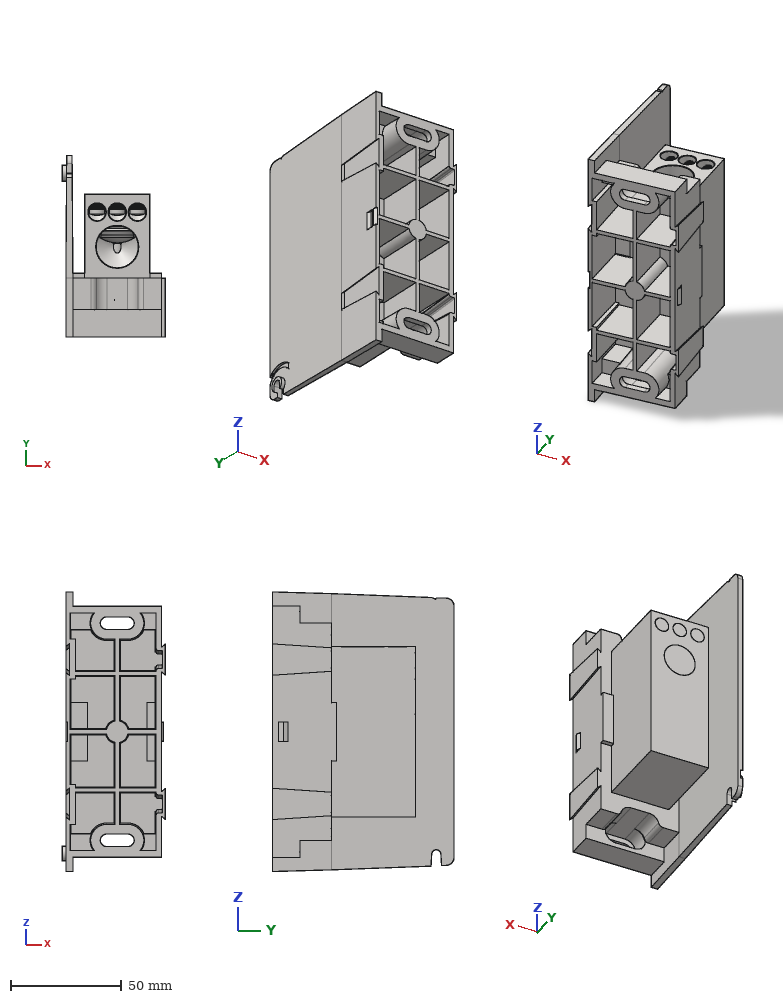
import cadquery as cq
import math


BASE_RIGHT = 43.6
BASE_HEIGHT = 26.8
FOOT_HEIGHT = 12.6
FOOT_END_Z = 57.0
LUG_END_Z = 49.4
CENTER_X = 23.4
DRAFT = 1.0

WALL_THICKNESS = 3.3
WALL_TOP_Y = 82.5
WALL_HALF_LENGTH = 63.5
WALL_BEND_Z = 62.7
WALL_CORNER_Z = 60.7
WALL_SHOULDER_Y = 72.4
WALL_SHOULDER_Z = 61.0
WALL_CORNER_RADIUS = 3.8
WALL_TAPER = 0.4
TOP_NOTCH_Y = 74.0
TOP_NOTCH_DEPTH = 0.5

HINGE_Y = 74.4
HINGE_Z = -55.6
HINGE_BOSS_DIAMETER = 7.4
HINGE_HOLE_DIAMETER = 4.1
HINGE_MOUTH_WIDTH = 5.0
HINGE_PROJECTION = 1.7
GROOVE_OUTER_DIAMETER = 22.2
GROOVE_INNER_DIAMETER = 17.5
GROOVE_DEPTH = 1.1
GROOVE_START_Y = 68.1
GROOVE_STEP_Y = 80.8
GROOVE_RAMP_Y = 81.7

POCKET_LEFT = 2.0
POCKET_RIGHT = 41.0
POCKET_END_Z = 54.0
POCKET_FLOOR_Y = 24.3
FOOT_POCKET_FLOOR_Y = 10.2
DEEP_POCKET_END_Z = 46.6
RIB_THICKNESS = 1.9
CROSS_RIB_Z = 26.4
POST_DIAMETER = 9.9

SLOT_Z = 49.3
SLOT_WIDTH = 5.6
SLOT_LENGTH = 15.2
SLOT_BOSS_RADIUS = 7.2
SLOT_BOSS_DRAFT = 1.5
SLOT_FLOOR_Y = 3.3
COUNTERBORE_WIDTH = 10.8
RECESS_FLAT_HALF = 4.7
RECESS_CORNER_RUN = 4.8
RECESS_LIP_RUN = 2.4

PAD_HALF_LENGTH = 13.2
PAD_HEIGHT = 2.3
PAD_HOLLOW_DEPTH = 1.0
PAD_HOLLOW_OVERLAP = 1.3

DOVETAIL_Z = 32.8
DOVETAIL_HEIGHT = 1.7
DOVETAIL_ROOT_HALF = 5.7
DOVETAIL_FLARE = 1.4
DOVETAIL_TAPER = 1.8
DOVETAIL_PLAY = 0.1
DOVETAIL_HOLLOW_HALF = 4.1
DOVETAIL_HOLLOW_DEPTH = 2.9
DOVETAIL_MOUTH_RADIUS = 1.0
DOVETAIL_ROOT_RADIUS = 0.5
BACKING_THICKNESS = 4.3
BACKING_NEAR_Z = 24.0
BACKING_FAR_Z = 42.2

SNAP_HALF_LENGTH = 4.3
SNAP_START_Y = 2.8
SNAP_PEAK_Y = 5.1
SNAP_END_Y = 7.1
SNAP_HEIGHT = 0.9
LEAD_IN_Y = 1.8

CONNECTOR_WIDTH = 29.6
CONNECTOR_TOP_Y = 64.9
CONNECTOR_HALF_LENGTH = 38.6
DRILL_HALF_ANGLE = 59.0
SMALL_WIRE_DIAMETER = 7.9
SMALL_WIRE_Y = 56.8
SMALL_WIRE_PITCH = 9.1
SMALL_WIRE_DEPTH = 11.4
LARGE_WIRE_DIAMETER = 19.0
LARGE_WIRE_Y = 41.0
LARGE_WIRE_DEPTH = 32.1
WIRE_HOLE_CHAMFER = 0.3

SMALL_SCREW_DIAMETER = 6.9
SMALL_SCREW_HOLE = 7.0
SMALL_SCREW_Z = 32.4
SMALL_SCREW_TIP_Y = 56.0
SMALL_SCREW_TIP_LENGTH = 2.0
SMALL_SCREW_DOME = 0.8
SMALL_SCREW_PITCH = 0.8
LARGE_SCREW_DIAMETER = 15.9
LARGE_SCREW_HOLE = 16.0
LARGE_SCREW_Z = 15.9
LARGE_SCREW_TIP_Y = 45.2
LARGE_SCREW_DOME = 2.4
LARGE_SCREW_PITCH = 1.7
RETAINING_SCREW_DIAMETER = 5.0
RETAINING_SCREW_BOTTOM_Y = 15.2
RETAINING_SCREW_TOP_Y = 42.5


def box(x0, x1, y0, y1, z0, z1):
    """A block between two opposite corners."""
    return cq.Workplane(obj=cq.Solid.makeBox(x1 - x0, y1 - y0, z1 - z0, cq.Vector(x0, y0, z0)))


def plane_up(x, y, z):
    """A sketch plane facing +Y; its local axes are X and -Z."""
    return cq.Workplane(cq.Plane(origin=(x, y, z), xDir=(1, 0, 0), normal=(0, 1, 0)))


def at_both_ends(shape):
    """The shape and its mirror image across Z = 0."""
    return shape.union(shape.mirror("XY"))


def wall_outline():
    """Plate with the side wall's YZ outline, which tapers away from the mounting plane."""
    hinge_side_z = -WALL_CORNER_Z
    outline = (
        cq.Workplane("YZ")
        .moveTo(0, -WALL_HALF_LENGTH)
        .lineTo(0, WALL_HALF_LENGTH)
        .lineTo(BASE_HEIGHT, WALL_BEND_Z)
        .lineTo(WALL_SHOULDER_Y, WALL_SHOULDER_Z)
        .lineTo(TOP_NOTCH_Y, WALL_CORNER_Z - TOP_NOTCH_DEPTH)
        .lineTo(HINGE_Y, WALL_CORNER_Z)
        .lineTo(WALL_TOP_Y, WALL_CORNER_Z)
        .lineTo(WALL_TOP_Y, hinge_side_z)
        .lineTo(HINGE_Y, hinge_side_z)
        .lineTo(HINGE_Y, -WALL_SHOULDER_Z)
        .lineTo(BASE_HEIGHT, -WALL_BEND_Z)
        .close()
        .extrude(WALL_THICKNESS)
    )
    corners = cq.selectors.BoxSelector(
        (0, HINGE_Y + WALL_CORNER_RADIUS, -WALL_HALF_LENGTH),
        (WALL_THICKNESS, WALL_TOP_Y + WALL_CORNER_RADIUS, WALL_HALF_LENGTH),
    )
    return outline.edges("|X").edges(corners).fillet(WALL_CORNER_RADIUS)


def side_wall():
    """Wall of constant thickness beside the base, thinning towards its top."""
    section = (
        cq.Workplane("XY", origin=(0, 0, -WALL_HALF_LENGTH))
        .polyline([
            (0, 0),
            (WALL_THICKNESS, 0),
            (WALL_THICKNESS, BASE_HEIGHT),
            (WALL_THICKNESS - WALL_TAPER, WALL_TOP_Y),
            (WALL_TAPER, WALL_TOP_Y),
            (0, BASE_HEIGHT),
        ])
        .close()
        .extrude(2 * WALL_HALF_LENGTH)
    )
    return section.intersect(wall_outline())


def add_hinge(wall):
    """Round boss with an open slot, and a blind arc groove around it."""
    hinge = cq.Workplane("YZ", origin=(-HINGE_PROJECTION, HINGE_Y, HINGE_Z))
    boss = hinge.circle(HINGE_BOSS_DIAMETER / 2).extrude(HINGE_PROJECTION + WALL_THICKNESS / 2)
    reach = HINGE_PROJECTION + WALL_THICKNESS
    hole_radius = HINGE_HOLE_DIAMETER / 2
    mouth_depth = WALL_HALF_LENGTH + HINGE_Z
    hole = hinge.circle(hole_radius).extrude(reach)
    mouth = (
        hinge.polyline([
            (-hole_radius, 0),
            (hole_radius, 0),
            (HINGE_MOUTH_WIDTH / 2, -mouth_depth),
            (-HINGE_MOUTH_WIDTH / 2, -mouth_depth),
        ])
        .close()
        .extrude(reach)
    )

    floor_x = WALL_TAPER + GROOVE_DEPTH
    step_x = WALL_TAPER + GROOVE_DEPTH / 2
    ring = (
        cq.Workplane("YZ", origin=(0, HINGE_Y, HINGE_Z))
        .circle(GROOVE_OUTER_DIAMETER / 2)
        .circle(GROOVE_INNER_DIAMETER / 2)
        .extrude(floor_x)
    )
    groove_section = (
        cq.Workplane("XY", origin=(0, 0, HINGE_Z))
        .polyline([
            (0, GROOVE_START_Y),
            (floor_x, GROOVE_START_Y),
            (floor_x, GROOVE_STEP_Y),
            (step_x, GROOVE_STEP_Y),
            (step_x, GROOVE_RAMP_Y),
            (floor_x, WALL_TOP_Y),
            (0, WALL_TOP_Y),
        ])
        .close()
        .extrude(GROOVE_OUTER_DIAMETER / 2)
    )
    return wall.union(boss).cut(hole).cut(mouth).cut(ring.intersect(groove_section))


def slot_recess():
    """Open-ended recess with S-curved sides above one mounting foot."""
    back_z = SLOT_Z - COUNTERBORE_WIDTH / 2
    depth = LUG_END_Z - back_z
    run = RECESS_CORNER_RUN + RECESS_LIP_RUN
    swing = 2 * math.atan(depth / run)
    corner_radius = RECESS_CORNER_RUN / math.sin(swing)
    lip_radius = RECESS_LIP_RUN / math.sin(swing)

    def along_arc(radius, angle):
        return radius * math.sin(angle), radius * (1 - math.cos(angle))

    corner_mid_x, corner_mid_z = along_arc(corner_radius, swing / 2)
    corner_x, corner_z = along_arc(corner_radius, swing)
    lip_mid_x, lip_mid_z = along_arc(lip_radius, swing / 2)
    lip_x = RECESS_FLAT_HALF + run

    def point(x, z):
        return (x, -z)

    corner_mid = (RECESS_FLAT_HALF + corner_mid_x, back_z + corner_mid_z)
    corner_end = (RECESS_FLAT_HALF + corner_x, back_z + corner_z)
    lip_mid = (lip_x - lip_mid_x, LUG_END_Z - lip_mid_z)
    half = (
        plane_up(CENTER_X, FOOT_HEIGHT, 0)
        .moveTo(*point(0, back_z))
        .lineTo(*point(RECESS_FLAT_HALF, back_z))
        .threePointArc(point(*corner_mid), point(*corner_end))
        .threePointArc(point(*lip_mid), point(lip_x, LUG_END_Z))
        .lineTo(*point(0, LUG_END_Z))
        .close()
        .extrude(BASE_HEIGHT - FOOT_HEIGHT)
    )
    return half.union(half.mirror("YZ", (CENTER_X, 0, 0)))


def slot_shape(width, y0, y1, taper=0):
    """Prism from Y = y0 to y1 that follows the mounting slot at the given width."""
    length = SLOT_LENGTH - SLOT_WIDTH + width
    return plane_up(CENTER_X, y0, SLOT_Z).slot2D(length, width).extrude(y1 - y0, taper=taper)


def pocket(x0, x1, z0, z1, floor_y):
    """Drafted pocket open on the mounting plane."""
    return (
        plane_up((x0 + x1) / 2, 0, (z0 + z1) / 2)
        .rect(x1 - x0, z1 - z0)
        .extrude(floor_y, taper=DRAFT)
    )


def underside_pockets():
    """Ribbed hollow of one half of the base, around the slot boss and the centre post."""
    half_rib = RIB_THICKNESS / 2
    columns = [(POCKET_LEFT, CENTER_X - half_rib), (CENTER_X + half_rib, POCKET_RIGHT)]
    rows = [(half_rib, CROSS_RIB_Z - half_rib), (CROSS_RIB_Z + half_rib, DEEP_POCKET_END_Z)]
    pockets = cq.Workplane()
    for x0, x1 in columns:
        for z0, z1 in rows:
            pockets = pockets.add(pocket(x0, x1, z0, z1, POCKET_FLOOR_Y))
        pockets = pockets.add(pocket(x0, x1, CROSS_RIB_Z + half_rib, POCKET_END_Z, FOOT_POCKET_FLOOR_Y))
    pockets = pockets.combine()

    boss = slot_shape(2 * SLOT_BOSS_RADIUS, 0, BASE_HEIGHT, -SLOT_BOSS_DRAFT)
    post = plane_up(CENTER_X, 0, 0).circle(POST_DIAMETER / 2).extrude(BASE_HEIGHT, taper=-DRAFT)
    backing = box(0, BACKING_THICKNESS, 0, BASE_HEIGHT, BACKING_NEAR_Z, BACKING_FAR_Z)
    return pockets.cut(boss).cut(post).cut(backing)


def dovetail(x, play):
    """Dovetail bar flaring towards +X, narrowing from the mounting plane to the base top."""
    def section(y, half):
        root, tip = half + play, half + DOVETAIL_FLARE + play
        height = DOVETAIL_HEIGHT + play
        corners = [(x, -root), (x, root), (x + height, tip), (x + height, -tip)]
        points = [cq.Vector(px, y, DOVETAIL_Z + pz) for px, pz in corners]
        return cq.Wire.makePolygon(points, close=True)

    bottom = section(0, DOVETAIL_ROOT_HALF)
    top = section(BASE_HEIGHT, DOVETAIL_ROOT_HALF - DOVETAIL_TAPER)
    return cq.Workplane(obj=cq.Solid.makeLoft([bottom, top], True))


def dovetail_hollow():
    """Tapered hollow behind the dovetail bar, with rounded mouth and root, open to the pocket."""
    mouth, root, depth = DOVETAIL_MOUTH_RADIUS, DOVETAIL_ROOT_RADIUS, DOVETAIL_HOLLOW_DEPTH
    off_arc = 1 - math.sqrt(0.5)

    def section(y, half):
        wire = (
            plane_up(POCKET_RIGHT, y, DOVETAIL_Z)
            .moveTo(-RIB_THICKNESS, half + mouth)
            .lineTo(0, half + mouth)
            .threePointArc((mouth * off_arc, half + mouth * off_arc), (mouth, half))
            .lineTo(depth - root, half)
            .threePointArc((depth - root * off_arc, half - root * off_arc), (depth, half - root))
            .lineTo(depth, root - half)
            .threePointArc((depth - root * off_arc, root * off_arc - half), (depth - root, -half))
            .lineTo(mouth, -half)
            .threePointArc((mouth * off_arc, -half - mouth * off_arc), (0, -half - mouth))
            .lineTo(-RIB_THICKNESS, -half - mouth)
            .close()
        )
        return wire.val()

    floor_half = DOVETAIL_HOLLOW_HALF - DOVETAIL_TAPER * POCKET_FLOOR_Y / BASE_HEIGHT
    sections = [section(0, DOVETAIL_HOLLOW_HALF), section(POCKET_FLOOR_Y, floor_half)]
    return cq.Workplane(obj=cq.Solid.makeLoft(sections, True))


def snap_wedge(x, points):
    """Triangular bar along Z; points are (height, y) pairs from the face at X = x."""
    return (
        cq.Workplane("XY", origin=(x, 0, -SNAP_HALF_LENGTH))
        .polyline(points)
        .close()
        .extrude(2 * SNAP_HALF_LENGTH)
    )


def make_housing():
    core = box(0, BASE_RIGHT, 0, BASE_HEIGHT, -LUG_END_Z, LUG_END_Z)
    feet = box(0, BASE_RIGHT, 0, FOOT_HEIGHT, -FOOT_END_Z, FOOT_END_Z)
    body = core.union(feet).union(add_hinge(side_wall()))

    connector_left = CENTER_X - CONNECTOR_WIDTH / 2
    connector_right = CENTER_X + CONNECTOR_WIDTH / 2
    pad_top = BASE_HEIGHT + PAD_HEIGHT
    hollow_top = POCKET_FLOOR_Y + PAD_HOLLOW_DEPTH
    left_hollow = (POCKET_LEFT, connector_left + PAD_HOLLOW_OVERLAP)
    right_hollow = (connector_right - PAD_HOLLOW_OVERLAP, POCKET_RIGHT)
    for x0, x1 in [(WALL_THICKNESS / 2, connector_left), (connector_right, BASE_RIGHT)]:
        body = body.union(box(x0, x1, 0, pad_top, -PAD_HALF_LENGTH, PAD_HALF_LENGTH))

    hollow_start = RIB_THICKNESS / 2
    pad_hollows = [
        box(x0, x1, POCKET_FLOOR_Y, hollow_top, hollow_start, PAD_HALF_LENGTH)
        for x0, x1 in (left_hollow, right_hollow)
    ]

    body = body.union(at_both_ends(dovetail(BASE_RIGHT, 0)))
    end_cuts = [
        slot_recess(),
        slot_shape(SLOT_WIDTH, 0, FOOT_HEIGHT),
        slot_shape(COUNTERBORE_WIDTH, SLOT_FLOOR_Y, FOOT_HEIGHT),
        underside_pockets(),
        *pad_hollows,
        dovetail_hollow(),
        dovetail(0, DOVETAIL_PLAY),
    ]
    for tool in end_cuts:
        body = body.cut(at_both_ends(tool))

    ridge = [(0, SNAP_START_Y), (SNAP_HEIGHT, SNAP_PEAK_Y), (0, SNAP_END_Y)]
    lead_in = [(0, 0), (SNAP_HEIGHT, 0), (0, LEAD_IN_Y)]
    body = body.union(snap_wedge(BASE_RIGHT, ridge))
    body = body.cut(snap_wedge(0, ridge)).cut(snap_wedge(0, lead_in))

    return body.cut(retaining_screw_shape())


def wire_hole(x, y, diameter, depth):
    """Blind hole from the +Z end with a drill-point bottom."""
    radius = diameter / 2
    point = radius / math.tan(math.radians(DRILL_HALF_ANGLE))
    return (
        cq.Workplane("XZ", origin=(x, y, CONNECTOR_HALF_LENGTH))
        .polyline([
            (0, 0),
            (radius + WIRE_HOLE_CHAMFER, 0),
            (radius, -WIRE_HOLE_CHAMFER),
            (radius, -depth),
            (0, -depth - point),
        ])
        .close()
        .revolve(360, (0, 0), (0, 1))
    )


def screw_hole(x, z, diameter, bottom_y):
    """Upright hole from Y = bottom_y to the connector top."""
    return plane_up(x, bottom_y, z).circle(diameter / 2).extrude(CONNECTOR_TOP_Y - bottom_y)


def retaining_screw_shape():
    """Plain shank that fills its hole in the base and the connector."""
    length = RETAINING_SCREW_TOP_Y - RETAINING_SCREW_BOTTOM_Y
    return (
        plane_up(CENTER_X, RETAINING_SCREW_BOTTOM_Y, 0)
        .circle(RETAINING_SCREW_DIAMETER / 2)
        .extrude(length)
    )


def small_screw_positions():
    return [CENTER_X + step * SMALL_WIRE_PITCH for step in (-1, 0, 1)]


def make_connector():
    half_width = CONNECTOR_WIDTH / 2
    body = box(
        CENTER_X - half_width, CENTER_X + half_width,
        BASE_HEIGHT, CONNECTOR_TOP_Y,
        -CONNECTOR_HALF_LENGTH, CONNECTOR_HALF_LENGTH,
    )
    for x in small_screw_positions():
        body = body.cut(wire_hole(x, SMALL_WIRE_Y, SMALL_WIRE_DIAMETER, SMALL_WIRE_DEPTH))
        body = body.cut(screw_hole(x, SMALL_SCREW_Z, SMALL_SCREW_HOLE, SMALL_SCREW_TIP_Y))
    body = body.cut(wire_hole(CENTER_X, LARGE_WIRE_Y, LARGE_WIRE_DIAMETER, LARGE_WIRE_DEPTH))
    body = body.cut(screw_hole(CENTER_X, LARGE_SCREW_Z, LARGE_SCREW_HOLE, LARGE_SCREW_TIP_Y))
    return body.cut(retaining_screw_shape())


def make_screw(x, z, diameter, tip_y, dome, pitch, thread_start_y):
    """Upright screw, flush with the connector top, with a domed tip and ring grooves as its thread."""
    radius = diameter / 2
    root = radius - pitch / 2
    rings = math.floor((CONNECTOR_TOP_Y - thread_start_y) / pitch)
    sphere = (radius**2 + dome**2) / (2 * dome)
    dome_mid = (radius / 2, tip_y - dome + sphere - math.sqrt(sphere**2 - radius**2 / 4))

    profile = (
        cq.Workplane("XY", origin=(x, 0, z))
        .moveTo(0, tip_y - dome)
        .threePointArc(dome_mid, (radius, tip_y))
    )
    if thread_start_y > tip_y:
        profile = profile.lineTo(radius, thread_start_y)
    for ring in range(rings):
        ring_y = thread_start_y + ring * pitch
        profile = profile.lineTo(root, ring_y + pitch / 2).lineTo(radius, ring_y + pitch)
    profile = profile.lineTo(radius, CONNECTOR_TOP_Y).lineTo(0, CONNECTOR_TOP_Y).close()
    return profile.revolve(360, (0, 0), (0, 1))


def make_small_screw(x):
    return make_screw(
        x, SMALL_SCREW_Z, SMALL_SCREW_DIAMETER, SMALL_SCREW_TIP_Y, SMALL_SCREW_DOME,
        SMALL_SCREW_PITCH, SMALL_SCREW_TIP_Y + SMALL_SCREW_TIP_LENGTH,
    )


def make_large_screw():
    return make_screw(
        CENTER_X, LARGE_SCREW_Z, LARGE_SCREW_DIAMETER, LARGE_SCREW_TIP_Y, LARGE_SCREW_DOME,
        LARGE_SCREW_PITCH, LARGE_SCREW_TIP_Y,
    )


housing = make_housing()
connector = make_connector()
small_screws = [make_small_screw(x) for x in small_screw_positions()]
large_screw = make_large_screw()
retaining_screw = retaining_screw_shape()

result = cq.Compound.makeCompound([
    housing.val(),
    connector.val(),
    *[screw.val() for screw in small_screws],
    large_screw.val(),
    retaining_screw.val(),
])